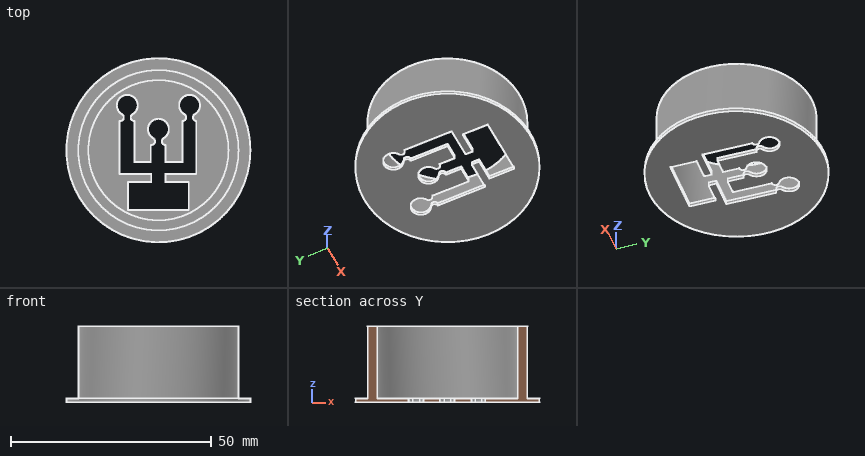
import cadquery as cq
import math

flange_diameter = 46.0
cup_diameter = 40.0
bore_diameter = 35.0
total_height = 19.0
floor_thickness = 1.0

head_radius = 2.58
bump_radius = 0.9
bump_offset = 1.75
bump_drop = math.sqrt((head_radius + bump_radius) ** 2 - bump_offset ** 2)
outer_head_x = 7.77
outer_head_y = 11.22
middle_head_y = 5.25

left_leg_left = -9.65
left_leg_right = -6.03
right_leg_left = 6.05
right_leg_right = 9.4
middle_leg_left = -1.9
stem_half_width = 1.75
crossbar_top = -3.0
crossbar_bottom = -5.9

window_half_width = 7.565
window_top = -7.95
window_bottom = -14.9


def block(left, right, bottom, top):
    """Rectangular prism through the floor."""
    return (
        cq.Workplane("XY")
        .center((left + right) / 2, (bottom + top) / 2)
        .rect(right - left, top - bottom)
        .extrude(floor_thickness)
    )


def disc(x, y, radius):
    """Round prism through the floor."""
    return cq.Workplane("XY").center(x, y).circle(radius).extrude(floor_thickness)


def slot(head_x, head_y, leg_left, leg_right):
    """Round head, pinched neck and straight leg down to the crossbar."""
    bump_y = head_y - bump_drop
    leg_top = bump_y - bump_radius
    contact_y = head_y - bump_drop * head_radius / (head_radius + bump_radius)
    neck_left = max(leg_left, head_x - bump_offset)
    neck_right = min(leg_right, head_x + bump_offset)
    neck = block(neck_left, neck_right, leg_top, contact_y)
    for side in (-1, 1):
        neck = neck.cut(disc(head_x + side * bump_offset, bump_y, bump_radius))
    leg = block(leg_left, leg_right, crossbar_bottom, leg_top)
    return leg.union(neck).union(disc(head_x, head_y, head_radius))


body = cq.Workplane("XY").circle(flange_diameter / 2).extrude(floor_thickness)
wall = (
    cq.Workplane("XY")
    .circle(cup_diameter / 2)
    .circle(bore_diameter / 2)
    .extrude(total_height)
)
body = body.union(wall)

opening = block(left_leg_left, right_leg_right, crossbar_bottom, crossbar_top)
opening = opening.union(slot(-outer_head_x, outer_head_y, left_leg_left, left_leg_right))
opening = opening.union(slot(outer_head_x, outer_head_y, right_leg_left, right_leg_right))
opening = opening.union(slot(0, middle_head_y, middle_leg_left, stem_half_width))
opening = opening.union(block(-stem_half_width, stem_half_width, window_top, crossbar_bottom))
opening = opening.union(block(-window_half_width, window_half_width, window_bottom, window_top))

result = body.cut(opening)